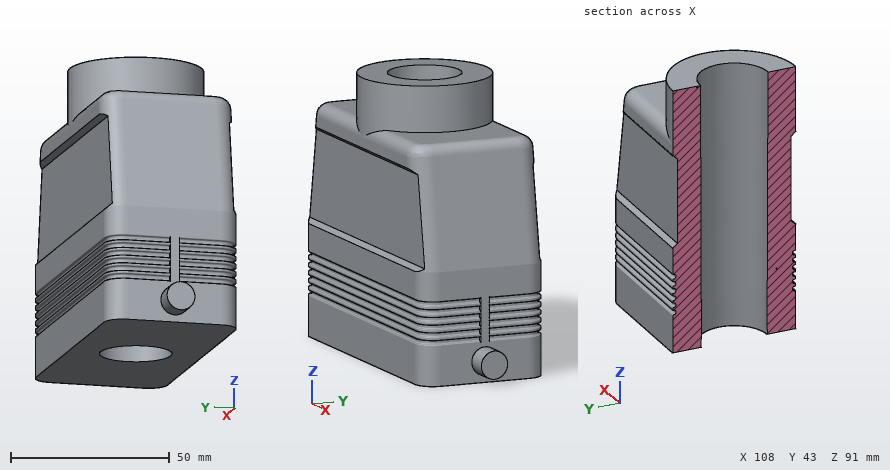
import cadquery as cq
import math

total_length = 108.0
body_length = 93.5
body_depth = 43.0
total_height = 91.0
body_height = 76.0

shoulder_height = 36.7
end_lean_angle = 10.0
corner_radius = 6.2
top_edge_radius = 4.0

recess_depth = 1.6
recess_bottom = 36.4
recess_top = 68.5
recess_slope_rise = 1.4

groove_width = 1.4
groove_depth = 1.0
lip_rounding = 0.3
floor_rounding = 0.4
groove_count = 6
groove_pitch = 2.5
lowest_groove_height = 14.0
plain_strip_width = 3.0

collar_diameter = body_depth
bore_top_diameter = 23.5
bore_bottom_diameter = 22.9

pin_diameter = 9.2
pin_height = 6.9
pin_tip_length = 1.1
pin_tip_relief = 0.05


def make_body():
    """Block with leaning ends, rounded corners and a rounded top rim."""
    half_length = body_length / 2
    lean = (body_height - shoulder_height) * math.tan(math.radians(end_lean_angle))
    body = (
        cq.Workplane("XZ")
        .moveTo(-half_length, 0)
        .lineTo(half_length, 0)
        .lineTo(half_length, shoulder_height)
        .lineTo(half_length - lean, body_height)
        .lineTo(-half_length + lean, body_height)
        .lineTo(-half_length, shoulder_height)
        .close()
        .extrude(body_depth / 2, both=True)
    )
    body = body.faces("<Y or >Y").edges("not |X").fillet(corner_radius)
    return body.faces(">Z").edges().fillet(top_edge_radius)


def make_recess(side):
    """Cutter for the recess of one face; side is -1 for front, +1 for back."""
    outer_y = side * body_depth / 2
    inner_y = outer_y - side * recess_depth
    return (
        cq.Workplane("YZ")
        .moveTo(outer_y, recess_bottom)
        .lineTo(inner_y, recess_bottom + recess_slope_rise)
        .lineTo(inner_y, recess_top - recess_slope_rise)
        .lineTo(outer_y, recess_top)
        .close()
        .extrude(body_length / 2, both=True)
    )


def make_groove(height):
    """Groove cutter with rounded lips and floor corners, following the body outline."""
    half_width = groove_width / 2
    half_mouth = half_width + lip_rounding
    half_floor = half_width - floor_rounding
    wall_end = groove_depth - floor_rounding
    diagonal = math.sqrt(0.5)
    lip_inset = lip_rounding * (1 - diagonal)
    lip_rise = half_mouth - lip_rounding * diagonal
    corner_inset = wall_end + floor_rounding * diagonal
    corner_rise = half_floor + floor_rounding * diagonal
    outline = (
        cq.Workplane("XY", origin=(0, 0, height))
        .rect(body_length, body_depth)
        .extrude(groove_pitch)
        .edges("|Z")
        .fillet(corner_radius)
        .faces("<Z")
        .wires()
    )
    cutter = (
        cq.Workplane("YZ", origin=(0, -body_depth / 2, height))
        .moveTo(0, -half_mouth)
        .threePointArc((lip_inset, -lip_rise), (lip_rounding, -half_width))
        .lineTo(wall_end, -half_width)
        .threePointArc((corner_inset, -corner_rise), (groove_depth, -half_floor))
        .lineTo(groove_depth, half_floor)
        .threePointArc((corner_inset, corner_rise), (wall_end, half_width))
        .lineTo(lip_rounding, half_width)
        .threePointArc((lip_inset, lip_rise), (0, half_mouth))
        .close()
        .sweep(outline)
    )
    plain_strip = cq.Workplane("XY", origin=(0, 0, height)).box(
        total_length, plain_strip_width, groove_pitch
    )
    return cutter.cut(plain_strip)


def make_pins():
    """Both locking pins as one bar along X, with slightly tapered tips; the bore parts it."""
    half_length = total_length / 2
    radius = pin_diameter / 2
    tip_radius = radius - pin_tip_relief
    tip_start = half_length - pin_tip_length
    return (
        cq.Workplane("XZ", origin=(0, 0, pin_height))
        .moveTo(-half_length, 0)
        .lineTo(-half_length, tip_radius)
        .lineTo(-tip_start, radius)
        .lineTo(tip_start, radius)
        .lineTo(half_length, tip_radius)
        .lineTo(half_length, 0)
        .close()
        .revolve(360, (0, 0, 0), (1, 0, 0))
    )


def make_collar():
    """Round collar standing on the body, sunk in past the rounded rim."""
    base = body_height - top_edge_radius
    return (
        cq.Workplane("XY", origin=(0, 0, base))
        .circle(collar_diameter / 2)
        .extrude(total_height - base)
    )


def make_bore():
    """Tapered bore through the full height."""
    return (
        cq.Workplane("XY")
        .circle(bore_bottom_diameter / 2)
        .workplane(offset=total_height)
        .circle(bore_top_diameter / 2)
        .loft()
    )


result = make_body()
for side in (-1, 1):
    result = result.cut(make_recess(side))
for index in range(groove_count):
    result = result.cut(make_groove(lowest_groove_height + index * groove_pitch))
result = result.union(make_collar()).union(make_pins()).cut(make_bore())